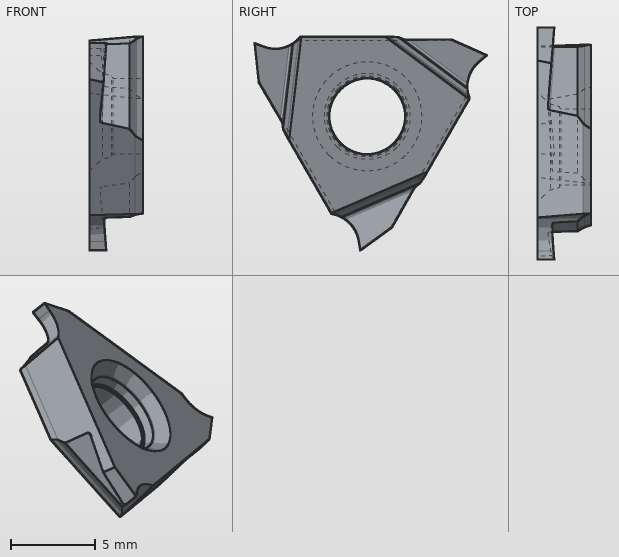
import cadquery as cq
import math


THICKNESS = 3.19
CORNERS = 3
REACH = 11.03

FRONT_APOTHEM = 4.5
BACK_APOTHEM = 4.73
DRAFT_DEPTH = 2.72

TIP_RADIUS = 7.97
TIP_ANGLE = 33.0
TIP_Y = -TIP_RADIUS * math.cos(math.radians(TIP_ANGLE))
TIP_Z = TIP_RADIUS * math.sin(math.radians(TIP_ANGLE))
FLANK_LEAN = -6.0

GULLET_START = (-3.95, 4.75)
GULLET_MIDDLE = (-5.35, 4.01)
GULLET_END = (-6.18, 4.15)

WALL_POINT = (-4.48, 4.36)
WALL_START = 0.79
WALL_LEAN = 6.7
WALL_RELIEF = 3.0
WALL_BEVEL_START = 2.37
BEVEL_BREAK = 2.79
STEEP_BEVEL_INSET = 0.29
SHALLOW_BEVEL_INSET = 0.15
TIP_THICKNESS = 1.0
FLOOR_SLOPE_Y = 0.058
FLOOR_SLOPE_Z = 0.065
POCKET_FILLET = 0.14

BORE_RADIUS = 2.25
HOLE_PROFILE = [
    (0.0, 3.24),
    (0.69, 2.6),
    (0.77, 2.55),
    (1.32, 2.4),
    (1.32, 2.33),
    (1.4, BORE_RADIUS),
]


def triangle(apothem, x):
    circumradius = 2 * apothem
    angles = [math.radians(30 + i * 360 / CORNERS) for i in range(CORNERS)]
    points = [(circumradius * math.cos(a), circumradius * math.sin(a)) for a in angles]
    return cq.Workplane("YZ", origin=(x, 0, 0)).polyline(points).close()


def make_body():
    front = cq.Solid.makeLoft(
        [
            triangle(FRONT_APOTHEM, 0).wire().val(),
            triangle(BACK_APOTHEM, DRAFT_DEPTH).wire().val(),
        ],
        True,
    )
    back = triangle(BACK_APOTHEM, DRAFT_DEPTH).extrude(THICKNESS - DRAFT_DEPTH)
    return cq.Workplane(front).union(back)


def wall_cutter(y, z, lean_degrees, profile):
    """Prism outside a leaning wall; profile lists (outward offset, x) pairs."""
    lean = math.radians(lean_degrees)
    plane = cq.Plane(
        origin=(0, y, z),
        xDir=(0, -math.cos(lean), math.sin(lean)),
        normal=(0, math.sin(lean), math.cos(lean)),
    )
    outside = [(REACH, profile[-1][1]), (REACH, profile[0][1])]
    return cq.Workplane(plane).polyline(profile + outside).close().extrude(REACH, both=True)


def flank_cutter():
    return wall_cutter(TIP_Y, TIP_Z, FLANK_LEAN, [(0, 0), (0, THICKNESS)])


def gullet_cutter():
    dy = TIP_Y - GULLET_END[0]
    dz = TIP_Z - GULLET_END[1]
    overrun = 4.0
    past_tip = (GULLET_END[0] + overrun * dy, GULLET_END[1] + overrun * dz)
    return (
        cq.Workplane("YZ")
        .moveTo(GULLET_START[0], REACH)
        .lineTo(*GULLET_START)
        .threePointArc(GULLET_MIDDLE, GULLET_END)
        .lineTo(*past_tip)
        .lineTo(past_tip[0], REACH)
        .close()
        .extrude(THICKNESS)
    )


def pocket_cutter():
    slope = math.tan(math.radians(WALL_RELIEF))
    bevel_offset = -slope * (WALL_BEVEL_START - WALL_START)
    break_offset = bevel_offset - STEEP_BEVEL_INSET
    profile = [
        (slope * WALL_START, 0),
        (bevel_offset, WALL_BEVEL_START),
        (break_offset, BEVEL_BREAK),
        (break_offset - SHALLOW_BEVEL_INSET, THICKNESS),
    ]
    floor = cq.Plane(
        origin=(TIP_THICKNESS, TIP_Y, TIP_Z),
        xDir=(FLOOR_SLOPE_Z, 0, 1),
        normal=(1, FLOOR_SLOPE_Y, -FLOOR_SLOPE_Z),
    )
    above_floor = cq.Workplane(floor).rect(2 * REACH, 2 * REACH).extrude(REACH)
    cutter = wall_cutter(*WALL_POINT, WALL_LEAN, profile).intersect(above_floor)
    wall_root = cq.selectors.NearestToPointSelector((WALL_START, *WALL_POINT))
    return cutter.edges(wall_root).fillet(POCKET_FILLET)


def hole_cutter():
    outline = [(0, 0)] + HOLE_PROFILE + [(THICKNESS, BORE_RADIUS), (THICKNESS, 0)]
    return cq.Workplane("XY").polyline(outline).close().revolve(360, (0, 0), (1, 0))


result = make_body().cut(hole_cutter())
for cutter in (flank_cutter(), gullet_cutter(), pocket_cutter()):
    for i in range(CORNERS):
        result = result.cut(cutter.rotate((0, 0, 0), (1, 0, 0), i * 360 / CORNERS))